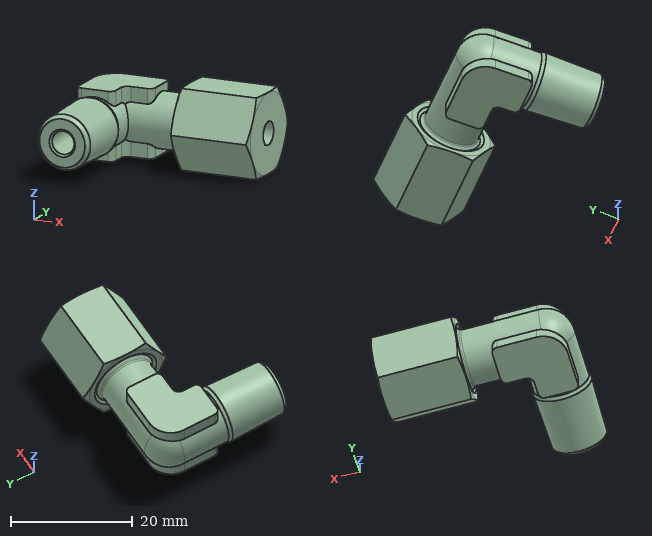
import cadquery as cq
import math

tube_radius = 4.8
bore_radius = 4.0 / 2

leg_length = 20.0
thread_root = 8.55
thread_start = 9.2
thread_radius = 5.05
tip_cone_start = 19.25
tip_cone_radius = 4.75
tip_radius = 4.15
mouth_radius = 2.35
mouth_depth = mouth_radius - bore_radius

nut_end = 33.08 - thread_radius
nut_start = 13.8
nut_length = nut_end - nut_start
across_flats = 14.0
across_corners = across_flats / math.cos(math.radians(30))
nut_chamfer_angle = 15

groove_outer_radius = 5.92
groove_bottom_radius = 5.35
groove_depth = 0.33
flare_start = 13.33
flare_radius = 0.4
flare_angle = math.radians(45)

pad_half_height = 6.02
pad_half_width = 3.4
pad_reach_x = 8.57
pad_reach_y = 7.7
pad_corner_radius = 1.0
pad_outer_round = 4.2
pad_notch_radius = 1.2


def make_threaded_leg():
    """Tapered plain thread body with a shoulder cone and a chamfered tip."""
    profile = [
        (0, 0),
        (tube_radius, 0),
        (tube_radius, -thread_root),
        (thread_radius, -thread_start),
        (tip_cone_radius, -tip_cone_start),
        (tip_radius, -leg_length),
        (0, -leg_length),
    ]
    return cq.Workplane("XY").polyline(profile).close().revolve(360, (0, 0, 0), (0, 1, 0))


def make_nut_leg():
    """Tube with a rounded flare that opens into the bottom of the nut groove."""
    half_angle = flare_angle / 2
    arc_mid = (
        flare_start + flare_radius * math.sin(half_angle),
        tube_radius + flare_radius * (1 - math.cos(half_angle)),
    )
    arc_end = (
        flare_start + flare_radius * math.sin(flare_angle),
        tube_radius + flare_radius * (1 - math.cos(flare_angle)),
    )
    return (
        cq.Workplane("XY")
        .lineTo(0, tube_radius)
        .lineTo(flare_start, tube_radius)
        .threePointArc(arc_mid, arc_end)
        .lineTo(nut_start + groove_depth, groove_bottom_radius)
        .lineTo(nut_end, groove_bottom_radius)
        .lineTo(nut_end, 0)
        .close()
        .revolve(360, (0, 0, 0), (1, 0, 0))
    )


def make_nut():
    """Hexagon with chamfered corners at both ends and a dished inner face."""
    hexagon = (
        cq.Workplane("YZ")
        .workplane(offset=nut_start)
        .polygon(6, across_corners)
        .extrude(nut_length)
    )
    corner_radius = across_corners / 2
    face_radius = across_flats / 2
    drop = (corner_radius - face_radius) * math.tan(math.radians(nut_chamfer_angle))
    envelope_profile = [
        (nut_start + groove_depth, 0),
        (nut_start + groove_depth, groove_bottom_radius),
        (nut_start, groove_outer_radius),
        (nut_start, face_radius),
        (nut_start + drop, corner_radius),
        (nut_end - drop, corner_radius),
        (nut_end, face_radius),
        (nut_end, 0),
    ]
    envelope = cq.Workplane("XY").polyline(envelope_profile).close().revolve(360, (0, 0, 0), (1, 0, 0))
    return hexagon.intersect(envelope)


def make_pads():
    """L-shaped block with a large round outside the elbow and smaller rounded corners."""
    outline = [
        (-pad_half_width, pad_half_width),
        (pad_reach_x, pad_half_width),
        (pad_reach_x, -pad_half_width),
        (pad_half_width, -pad_half_width),
        (pad_half_width, -pad_reach_y),
        (-pad_half_width, -pad_reach_y),
    ]
    block = (
        cq.Workplane("XY")
        .workplane(offset=-pad_half_height)
        .polyline(outline)
        .close()
        .extrude(2 * pad_half_height)
    )
    outer_corner = (-pad_half_width, pad_half_width)
    notch = (pad_half_width, -pad_half_width)
    special_radii = {outer_corner: pad_outer_round, notch: pad_notch_radius}
    for x, y in outline:
        radius = special_radii.get((x, y), pad_corner_radius)
        upright_edge = cq.selectors.NearestToPointSelector((x, y, 0))
        block = block.edges("|Z").edges(upright_edge).fillet(radius)
    return block


def make_bore():
    """Right-angle passage with a spherical corner and a countersunk thread mouth."""
    inlet_profile = [
        (0, 0),
        (bore_radius, 0),
        (bore_radius, mouth_depth - leg_length),
        (mouth_radius, -leg_length),
        (0, -leg_length),
    ]
    inlet = cq.Workplane("XY").polyline(inlet_profile).close().revolve(360, (0, 0, 0), (0, 1, 0))
    outlet = cq.Workplane("YZ").circle(bore_radius).extrude(nut_end)
    corner = cq.Workplane("XY").sphere(bore_radius)
    return inlet.union(outlet).union(corner)


elbow = cq.Workplane("XY").sphere(tube_radius)
body = elbow.union(make_threaded_leg()).union(make_nut_leg()).union(make_nut())
result = body.union(make_pads()).cut(make_bore())